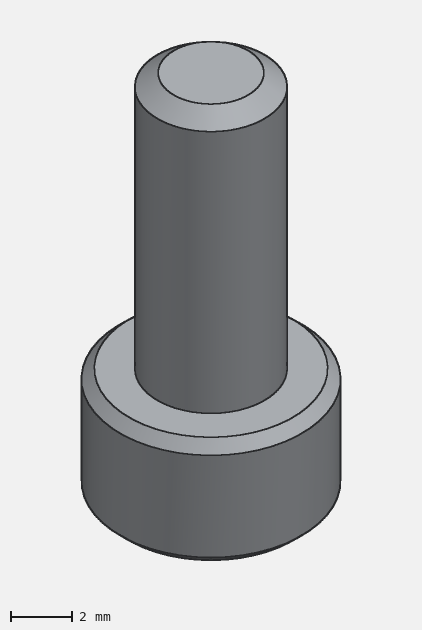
import cadquery as cq

total_length = 17.0
head_diameter = 8.5
head_height = 5.0
head_chamfer = 0.42
shank_diameter = 5.0
tip_chamfer_height = 0.56
tip_diameter = 3.47

shank_length = total_length - head_height
tip_chamfer_inset = (shank_diameter - tip_diameter) / 2


def make_head():
    """Cylindrical head with both rims chamfered."""
    head = cq.Workplane("XY").circle(head_diameter / 2).extrude(head_height)
    return head.faces("<Z or >Z").edges().chamfer(head_chamfer)


def make_shank():
    """Plain round shank tapering to a smaller flat tip."""
    shank_radius = shank_diameter / 2
    return (
        cq.Workplane("XZ", origin=(0, 0, head_height))
        .lineTo(shank_radius, 0)
        .lineTo(shank_radius, shank_length - tip_chamfer_height)
        .lineTo(shank_radius - tip_chamfer_inset, shank_length)
        .lineTo(0, shank_length)
        .close()
        .revolve(360, (0, 0, 0), (0, 1, 0))
    )


result = make_head().union(make_shank())